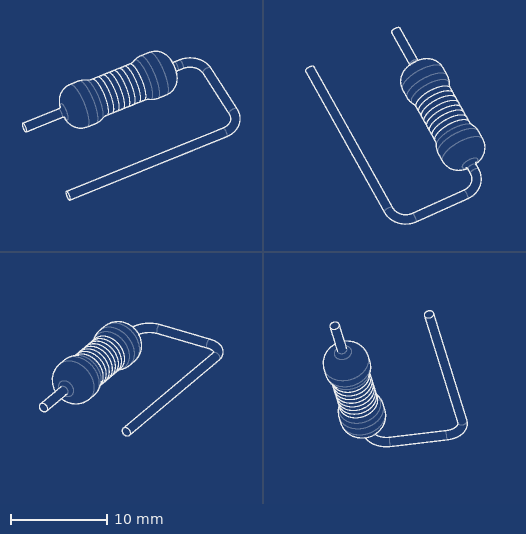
import cadquery as cq
import math


wire_radius = 0.5
overall_length = 20.8
lead_pitch = 10.0
bend_radius = 2.0

body_centre_y = 10.95
cap_radius = 2.402
waist_radius = 2.04
band_radius = 2.049
band_count = 4
ring_width = 0.62
blend_length = 1.41
cap_length = 1.05
dome_radius = 1.68
neck_radius = 0.45

waist_half = (2 * band_count - 1) * ring_width / 2
blend_end = waist_half + blend_length
dome_start = blend_end + cap_length

dome_centre_r = cap_radius - dome_radius
neck_centre_r = wire_radius + neck_radius
centre_distance = dome_radius + neck_radius
neck_end = dome_start + math.sqrt(centre_distance**2 - (neck_centre_r - dome_centre_r) ** 2)


def point_on_arc(centre, radius, angle):
    return (centre[0] + radius * math.cos(angle), centre[1] + radius * math.sin(angle))


def make_body_end():
    """Revolve the S-blend, cap, dome and neck of the +Y end about the Y axis."""
    dome_centre = (dome_centre_r, dome_start)
    neck_centre = (neck_centre_r, neck_end)
    contact_angle = math.atan2(neck_end - dome_start, neck_centre_r - dome_centre_r)
    dome_middle = point_on_arc(dome_centre, dome_radius, contact_angle / 2)
    contact = point_on_arc(dome_centre, dome_radius, contact_angle)
    neck_middle = point_on_arc(neck_centre, neck_radius, (contact_angle - 2 * math.pi) / 2)
    blend_rise = cap_radius - waist_radius
    blend_radius = (blend_rise**2 + blend_length**2) / (4 * blend_rise)
    blend_half_angle = math.asin(blend_length / (2 * blend_radius)) / 2
    blend_centre = (waist_radius + blend_radius, waist_half)
    blend_lower = point_on_arc(blend_centre, blend_radius, math.pi - blend_half_angle)
    blend_middle = ((waist_radius + cap_radius) / 2, waist_half + blend_length / 2)
    return (
        cq.Workplane("XY")
        .moveTo(0, waist_half)
        .lineTo(waist_radius, waist_half)
        .threePointArc(blend_lower, blend_middle)
        .tangentArcPoint((cap_radius, blend_end), relative=False)
        .lineTo(cap_radius, dome_start)
        .threePointArc(dome_middle, contact)
        .threePointArc(neck_middle, (wire_radius, neck_end))
        .lineTo(0, neck_end)
        .close()
        .revolve(360, (0, 0, 0), (0, 1, 0))
    )


def make_body():
    end = make_body_end()
    waist = (
        cq.Workplane("XZ", origin=(0, -waist_half, 0))
        .circle(waist_radius)
        .extrude(-2 * waist_half)
    )
    body = waist.union(end).union(end.mirror("XZ"))
    for index in range(band_count):
        start_y = -waist_half + 2 * index * ring_width
        band = (
            cq.Workplane("XZ", origin=(0, start_y, 0))
            .circle(band_radius)
            .extrude(-ring_width)
        )
        body = body.union(band)
    return body.translate((0, body_centre_y, 0))


def make_folded_lead(start_y):
    """Sweep the lead out of the body, across, and back down to Y = 0."""
    top_y = overall_length - wire_radius
    bend_y = top_y - bend_radius
    path = (
        cq.Workplane("XY")
        .moveTo(0, start_y)
        .lineTo(0, bend_y)
        .tangentArcPoint((bend_radius, top_y), relative=False)
        .lineTo(lead_pitch - bend_radius, top_y)
        .tangentArcPoint((lead_pitch, bend_y), relative=False)
        .lineTo(lead_pitch, 0)
    )
    return cq.Workplane("XZ", origin=(0, start_y, 0)).circle(wire_radius).sweep(path)


def make_straight_lead(end_y):
    return cq.Workplane("XZ").circle(wire_radius).extrude(-end_y)


folded_lead = make_folded_lead(body_centre_y + neck_end)
straight_lead = make_straight_lead(body_centre_y - neck_end)
result = make_body().union(folded_lead).union(straight_lead)